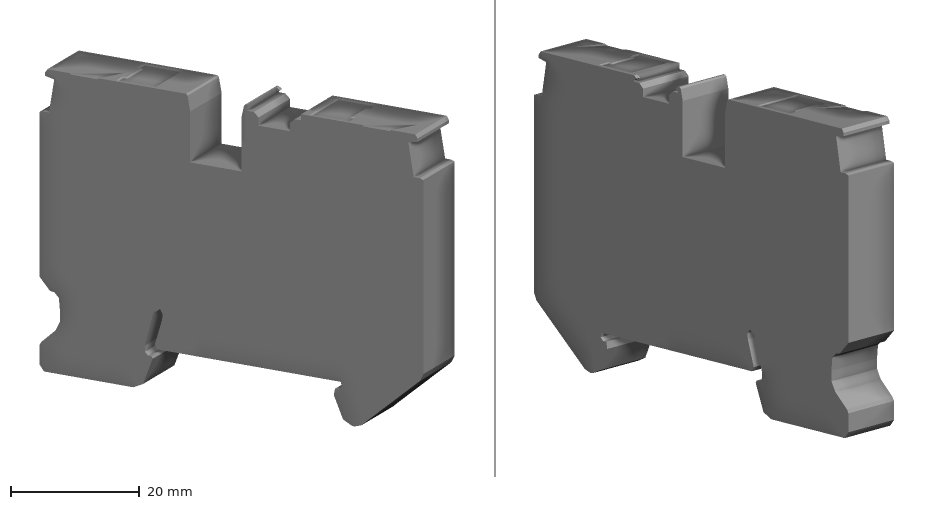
import cadquery as cq

length = 67.9
thickness = 10.2
height = 49.7

shoulder_z = 42.65
shoulder_chamfer_x = 0.6
shoulder_chamfer_z = 0.2
neck_bottom_x = 1.7
neck_top_x = 2.65
neck_top_z = 48.2
lip_x = 1.0
lip_bottom_z = 48.55
lip_chamfer_x = 0.4
lip_chamfer_z = 0.6

slot_left = 26.7
slot_right = 35.8
slot_floor_z = 38.6
slot_flare_left_z = 46.9
slot_flare_right_z = 47.6
slot_flare_left = 0.5
slot_flare_right = 0.4
slot_edge = 0.3

notch_center = 41.55
notch_half = 4.75
notch_ledge_half = 3.6
notch_floor_half = 2.8
notch_ledge_z = 48.7
notch_bevel_z = 47.95
notch_floor_z = 46.6

nub_reach = 0.6
nub_tip_drop = 0.4
nub_height = 0.8
nub_width = 0.75

rail_seat_z = 6.9
rail_seat_left = 20.85
rail_seat_right = 53.3
rail_hook_z = 5.65
rail_undercut_z = 6.2

corner_top_z = 10.6
hook_tip_x = 55.75
hook_nose_x = 52.1
hook_nose_z = 4.55

slit_left_bottom = 18.7
slit_top_x = 21.3
slit_top_z = 13.65

foot_right_x = 20.0
foot_bottom_right = 16.65
foot_chamfer_x = 0.8
foot_chamfer_z = 1.1
foot_top_z = 4.15
hollow_depth = 3.7
hollow_wall_bottom_z = 8.6
hollow_wall_top_z = 10.3
hollow_roof_z = 13.4
side_bottom_z = 15.5

pocket_outer_x = 13.4
pocket_inner_x = 20.25
pocket_front_y = 0.4
pocket_rear_y = 9.45
pocket_step_depth = 0.7
pocket_step_front_y = 2.65
pocket_step_rear_y = 7.3
pocket_wall_slope = 0.24
pocket_front_slope = 0.5
pocket_depth = 0.2

recess_pitch = 51.75
recess_front_x = 5.5
recess_tip = (13.05, 4.55)
recess_wall_x = 10.45
recess_wall_slope = 0.2
recess_depth = 0.2


def end_outline():
    """Upper left end of the outline, from the side face up to the top face."""
    return [
        (0, shoulder_z - shoulder_chamfer_z),
        (shoulder_chamfer_x, shoulder_z),
        (neck_bottom_x, shoulder_z),
        (neck_top_x, neck_top_z),
        (lip_x, lip_bottom_z),
        (lip_x, height - lip_chamfer_z),
        (lip_x + lip_chamfer_x, height),
    ]


def slot_outline():
    """Deep slot with walls that flare slightly near the top, from left to right."""
    left_lip = slot_left - slot_flare_left
    right_lip = slot_right + slot_flare_right
    return [
        (left_lip - slot_edge, height),
        (left_lip, height - slot_edge),
        (slot_left, slot_flare_left_z),
        (slot_left, slot_floor_z),
        (slot_right, slot_floor_z),
        (slot_right, slot_flare_right_z),
        (right_lip, height - slot_edge),
        (right_lip + slot_edge, height),
    ]


def notch_outline():
    """Marker notch, symmetric about its centre, from left to right."""
    half = [
        (notch_half, height),
        (notch_half, notch_ledge_z),
        (notch_ledge_half, notch_ledge_z),
        (notch_floor_half, notch_bevel_z),
        (notch_floor_half, notch_floor_z),
    ]
    left = [(notch_center - x, z) for x, z in half]
    right = [(notch_center + x, z) for x, z in reversed(half)]
    return left + right


def right_hook_outline():
    """Fixed hook and sloping lower right corner, from the side face to the rail seat."""
    return [
        (length, corner_top_z),
        (67.35, 9.45),
        (57.7, 1.1),
        (57.0, 0.4),
        (hook_tip_x, 0),
        (55.2, 0.1),
        (53.7, 0.8),
        (hook_nose_x, hook_nose_z),
        (52.3, rail_hook_z),
        (52.95, rail_hook_z),
        (53.5, rail_undercut_z),
        (rail_seat_right, rail_seat_z),
    ]


def spring_slit_outline():
    """Slanted slit that frees the left foot, from the rail seat to the foot."""
    return [
        (rail_seat_left, rail_seat_z),
        (20.45, 7.7),
        (21.7, 11.95),
        (21.8, 12.9),
        (slit_top_x, slit_top_z),
        (20.85, 13.2),
        (20.25, 13.05),
        (slit_left_bottom, 7.2),
        (slit_left_bottom, rail_undercut_z),
        (19.2, rail_hook_z),
        (19.8, rail_hook_z),
    ]


def left_foot_outline():
    """Left foot and the hollow above it, from the slit to the side face."""
    return [
        (foot_right_x, 5.2),
        (18.3, 0.8),
        (foot_bottom_right, 0),
        (foot_chamfer_x, 0),
        (0, foot_chamfer_z),
        (0, foot_top_z),
        (0.35, 4.75),
        (2.85, 7.05),
        (hollow_depth, hollow_wall_bottom_z),
        (hollow_depth, hollow_wall_top_z),
        (3.45, 12.5),
        (2.65, 13.3),
        (1.9, hollow_roof_z),
        (0, side_bottom_z),
    ]


def extrude_outline(points, front_y, rear_y):
    """Prism with an XZ outline between two Y positions."""
    plane = cq.Workplane("XZ", origin=(0, front_y, 0))
    return plane.polyline(points).close().extrude(front_y - rear_y)


def make_body():
    left_end = end_outline()
    right_end = [(length - x, z) for x, z in reversed(left_end)]
    outline = (
        left_end + slot_outline() + notch_outline() + right_end
        + right_hook_outline() + spring_slit_outline() + left_foot_outline()
    )
    return extrude_outline(outline, 0, thickness)


def make_nub(side):
    """Triangular snap nub; side is -1 for the left notch wall and 1 for the right."""
    wall = notch_center + side * notch_half
    points = [
        (wall, height),
        (wall - side * nub_reach, height - nub_tip_drop),
        (wall, height - nub_height),
    ]
    return extrude_outline(points, thickness - nub_width, thickness)


def pocket_outline(side_inset, front_inset):
    """Rectangle in XY with a step in its outer side, shrunk by the given insets."""
    outer_x = pocket_outer_x + side_inset
    inner_x = pocket_inner_x - side_inset
    front_y = pocket_front_y + front_inset
    rear_y = pocket_rear_y - side_inset
    step_x = outer_x + pocket_step_depth
    step_front_y = pocket_step_front_y - side_inset
    step_rear_y = pocket_step_rear_y + side_inset
    return [
        (outer_x, front_y),
        (inner_x, front_y),
        (inner_x, rear_y),
        (outer_x, rear_y),
        (outer_x, step_rear_y),
        (step_x, step_rear_y),
        (step_x, step_front_y),
        (outer_x, step_front_y),
    ]


def make_pocket():
    return (
        cq.Workplane("XY", origin=(0, 0, height))
        .polyline(pocket_outline(0, 0)).close()
        .workplane(offset=-pocket_depth)
        .polyline(pocket_outline(pocket_wall_slope, pocket_front_slope)).close()
        .loft(ruled=True)
    )


def recess_outline(wall_inset):
    """Triangle in XY open at the front face, its wall side moved in at the front."""
    return [(recess_front_x, 0), recess_tip, (recess_wall_x - wall_inset, 0)]


def make_recess():
    """Flat triangular recess with one sloping wall, open at the front face."""
    return (
        cq.Workplane("XY", origin=(0, 0, height))
        .polyline(recess_outline(0)).close()
        .workplane(offset=-recess_depth)
        .polyline(recess_outline(recess_wall_slope)).close()
        .loft(ruled=True)
    )


body = make_body()
for side in (-1, 1):
    body = body.union(make_nub(side))

pocket = make_pocket()
body = body.cut(pocket).cut(pocket.mirror("YZ", (length / 2, 0, 0)))

recess = make_recess()
for shift in (0, recess_pitch):
    body = body.cut(recess.translate((shift, 0, 0)))

result = body